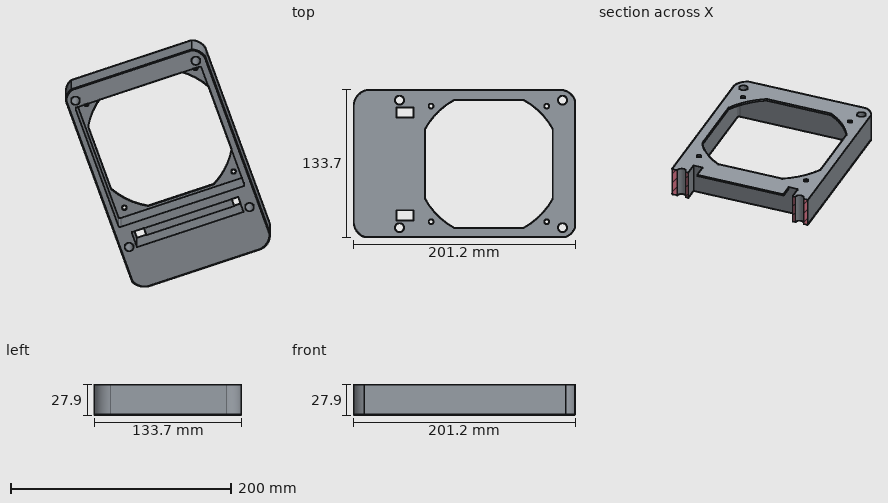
import cadquery as cq

length = 201.2
width = 133.7
height = 27.85
plate_thickness = 2.0
base_chamfer = 0.8

fan_pitch = 105.0
fan_hole_diameter = 4.2
opening_side = 116.0
opening_diameter = 132.0
fan_pocket_side = 121.0
fan_pocket_corner_radius = 1.5

right_x = 78.3
left_x = right_x - length
front_y = -66.45

corner_radius = 15.0
right_corner_inset = 14.0
right_corner_x = right_x - right_corner_inset

mount_hole_diameter = 8.0
mount_left_x = -81.2
mount_right_x = 66.9
mount_pitch_y = 115.8

slot_left_x = -83.7
slot_length = 15.0
slot_width = 9.0
channel_width = 102.5


def block():
    """Rounded slab trimmed by straight sides, which cut slightly into its corner arcs."""
    slab_length = right_corner_x + corner_radius - left_x
    slab_width = fan_pitch + 2 * corner_radius
    slab = cq.Workplane("XY").center(left_x + slab_length / 2, 0).rect(slab_length, slab_width)
    slab = slab.extrude(height).edges("|Z").fillet(corner_radius)
    sides = cq.Workplane("XY").center(left_x + length / 2, front_y + width / 2).rect(length, width)
    sides = sides.extrude(height)
    return slab.faces("<Z").chamfer(base_chamfer).intersect(sides.faces("<Z").chamfer(base_chamfer))


def fan_opening():
    """Square window with its corners cut by a circle, through the full height."""
    square = cq.Workplane("XY").rect(opening_side, opening_side).extrude(height)
    circle = cq.Workplane("XY").circle(opening_diameter / 2).extrude(height)
    return square.intersect(circle)


def fan_pocket():
    """Square fan bay below the top plate."""
    bay = cq.Workplane("XY").rect(fan_pocket_side, fan_pocket_side).extrude(height - plate_thickness)
    return bay.edges("|Z").fillet(fan_pocket_corner_radius)


def corner_holes(pitch_x, pitch_y, center_x, diameter):
    """Four through holes at the corners of a rectangle on the fan's X axis."""
    layout = cq.Workplane("XY").center(center_x, 0)
    layout = layout.rect(pitch_x, pitch_y, forConstruction=True).vertices()
    return layout.circle(diameter / 2).extrude(height)


def slot_channel():
    """Channel below the top plate with a slot through the plate at each end."""
    center_x = slot_left_x + slot_length / 2
    slot_y = (channel_width - slot_width) / 2
    channel = cq.Workplane("XY").center(center_x, 0).rect(slot_length, channel_width)
    slots = cq.Workplane("XY").pushPoints([(center_x, -slot_y), (center_x, slot_y)])
    return channel.extrude(height - plate_thickness).union(
        slots.rect(slot_length, slot_width).extrude(height)
    )


fan_holes = corner_holes(fan_pitch, fan_pitch, 0, fan_hole_diameter)
mount_holes = corner_holes(
    mount_right_x - mount_left_x,
    mount_pitch_y,
    (mount_left_x + mount_right_x) / 2,
    mount_hole_diameter,
)

result = block()
for cut in (fan_opening(), fan_pocket(), fan_holes, mount_holes, slot_channel()):
    result = result.cut(cut)